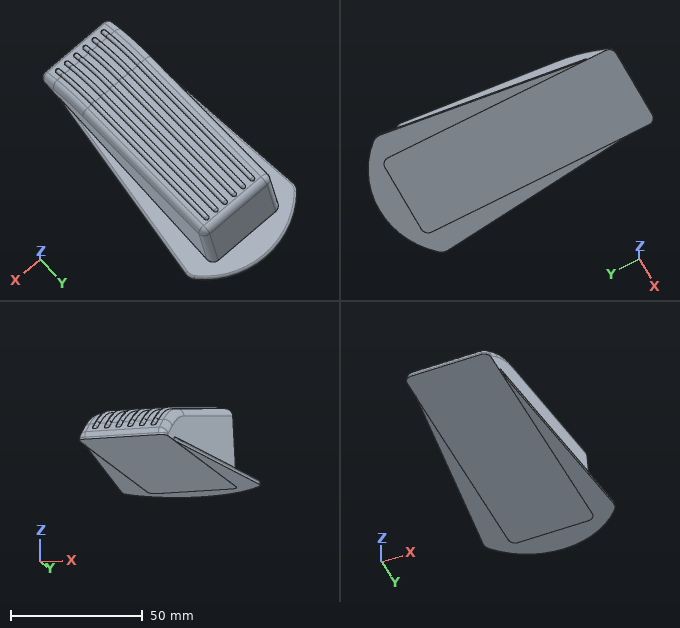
import cadquery as cq
import math


WEDGE_WIDTH = 35.1
TOE_Y = -55.1
HEEL_Y = 44.8
HEEL_LEAN = 11.0
TOP_SLOPE = 12.0
BEND_Y, BEND_Z = -30.8, 15.3
NOSE_Y, NOSE_Z = -48.3, 7.4
EDGE_RADIUS = 3.0

RIB_COUNT = 6
RIB_PITCH = 4.6
RIB_RADIUS = 1.0
RIB_SINK = 0.17
RIB_REAR_Y = 34.3
RIB_FRONT_Y = -51.2

PLATE_THICKNESS = 2.0
PLATE_EDGE_RADIUS = 1.0
PLATE_REAR_Y = 55.1
PLATE_CORNER_X, PLATE_CORNER_Y = 27.5, 41.9
PLATE_CORNER_RADIUS = 5.0
PLATE_MEET_Y = -43.9
PLATE_FRONT_Y = -49.6

top_rise = math.tan(math.radians(TOP_SLOPE))
chord_slope = math.degrees(math.atan2(BEND_Z - NOSE_Z, BEND_Y - NOSE_Y))
nose_slope = 2 * chord_slope - TOP_SLOPE
nose_rise = math.tan(math.radians(nose_slope))


def top_height(y):
    """Height of the straight top surface at y."""
    return BEND_Z + (y - BEND_Y) * top_rise


def nose_height(y):
    """Height of the straight nose surface at y."""
    return NOSE_Z + (y - NOSE_Y) * nose_rise


def make_wedge_block():
    """Wedge without ribs, with every edge rounded except those on the floor."""
    lean = math.tan(math.radians(HEEL_LEAN))
    crest_z = (BEND_Z + (HEEL_Y - BEND_Y) * top_rise) / (1 + lean * top_rise)
    crest_y = HEEL_Y - crest_z * lean
    toe_z = nose_height(TOE_Y)
    profile = (
        cq.Workplane("YZ", origin=(-WEDGE_WIDTH / 2, 0, 0))
        .moveTo(HEEL_Y, 0)
        .lineTo(crest_y, crest_z)
        .lineTo(BEND_Y, BEND_Z)
        .tangentArcPoint((NOSE_Y, NOSE_Z), relative=False)
        .lineTo(TOE_Y, toe_z)
        .lineTo(TOE_Y, 0)
        .close()
    )
    block = profile.extrude(WEDGE_WIDTH)
    rounded = block.faces("<X or >X").edges("not <Z")
    rounded = rounded.add(block.edges(cq.selectors.NearestToPointSelector((0, crest_y, crest_z))))
    rounded = rounded.add(block.edges(cq.selectors.NearestToPointSelector((0, TOE_Y, toe_z))))
    return rounded.fillet(EDGE_RADIUS)


def make_rib(x):
    """Round rib following the top, the arc and the nose, with ball ends."""
    rear = (RIB_REAR_Y, top_height(RIB_REAR_Y) - RIB_SINK)
    front = (RIB_FRONT_Y, nose_height(RIB_FRONT_Y) - RIB_SINK)
    path = (
        cq.Workplane("YZ", origin=(x, 0, 0))
        .moveTo(*rear)
        .lineTo(BEND_Y, BEND_Z - RIB_SINK)
        .tangentArcPoint((NOSE_Y, NOSE_Z - RIB_SINK), relative=False)
        .lineTo(*front)
    )
    start = cq.Plane(
        origin=(x, *rear),
        xDir=(1, 0, 0),
        normal=(0, -1, -top_rise),
    )
    rib = cq.Workplane(start).circle(RIB_RADIUS).sweep(path)
    for end in (rear, front):
        rib = rib.union(cq.Workplane("XY", origin=(x, *end)).sphere(RIB_RADIUS))
    return rib


def make_wedge(block):
    wedge = block
    for i in range(RIB_COUNT):
        x = (i - (RIB_COUNT - 1) / 2) * RIB_PITCH
        wedge = wedge.union(make_rib(x))
    return wedge


def make_plate(block):
    """Flared plate with an arched rear edge, open where the wedge sits."""
    side_flare = (PLATE_CORNER_X - WEDGE_WIDTH / 2) / (PLATE_CORNER_Y - PLATE_MEET_Y)
    front_x = WEDGE_WIDTH / 2 - (PLATE_MEET_Y - PLATE_FRONT_Y) * side_flare
    plate = (
        cq.Workplane("XY")
        .moveTo(-front_x, PLATE_FRONT_Y)
        .lineTo(front_x, PLATE_FRONT_Y)
        .lineTo(PLATE_CORNER_X, PLATE_CORNER_Y)
        .threePointArc((0, PLATE_REAR_Y), (-PLATE_CORNER_X, PLATE_CORNER_Y))
        .close()
        .extrude(PLATE_THICKNESS)
    )
    plate = plate.edges("|Z").edges(">Y").fillet(PLATE_CORNER_RADIUS)
    plate = plate.faces(">Z").edges().fillet(PLATE_EDGE_RADIUS)
    return plate.cut(block)


wedge_block = make_wedge_block()
wedge = make_wedge(wedge_block)
plate = make_plate(wedge_block)

result = cq.Compound.makeCompound([wedge.solids().val(), plate.solids().val()])